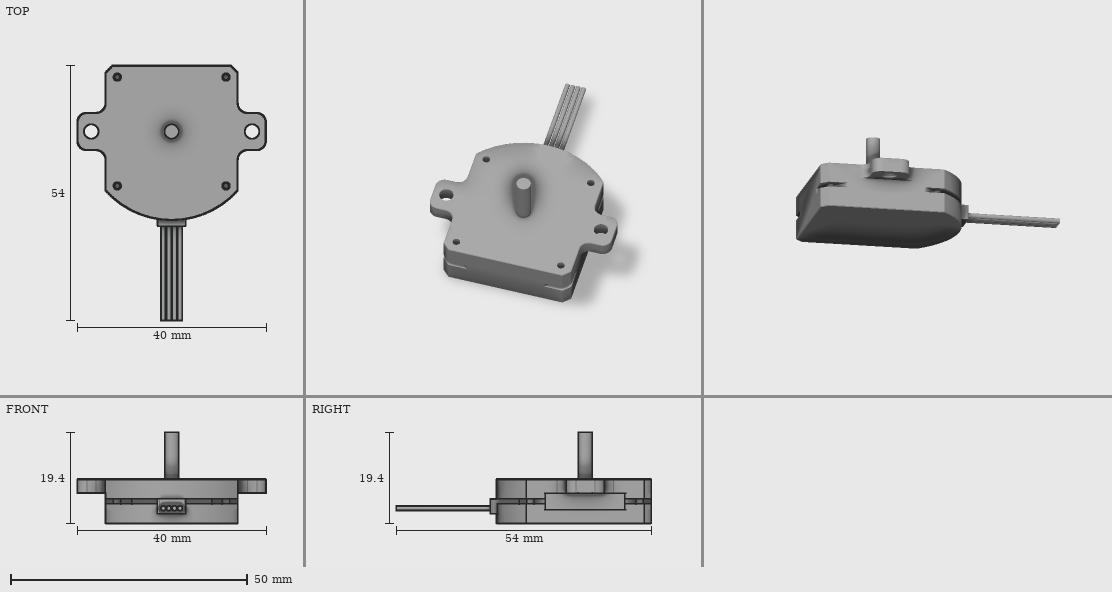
import cadquery as cq
import math

overall_length = 54.05
overall_height = 19.4
body_height = 9.5
body_half_width = 14.05
body_back = 14.0
back_chamfer = 1.5
front_radius = 18.8
housing_gap = 1.0
top_rim_chamfer = 0.135
bottom_rim_chamfer = 0.15

half_height = (body_height - housing_gap) / 2
upper_bottom = body_height - half_height

core_height = 3.5
core_half_width = body_half_width
core_half_depth = body_back
core_chamfer = 5.55
core_bottom = (body_height - core_height) / 2
core_top = core_bottom + core_height

ear_span = 40.0
ear_width = 8.0
ear_radius = 2.0
ear_hole_spacing = 34.05
ear_hole_diameter = 3.0

peg_spacing = 23.0
peg_diameter = 1.6
peg_chamfer = 0.2
peg_rise = 0.55
peg_top = core_top + peg_rise

shaft_diameter = 3.0

connector_width = 6.0
connector_height = 3.15
connector_front = -20.1
connector_corner = 0.3
connector_bottom = upper_bottom - connector_height

wire_count = 4
wire_pitch = 1.2
wire_diameter = 1.0
wire_level = 3.3
wire_end = body_back - overall_length


def body_plate(bottom, height):
    """Square body with a chamfered back and a front arc centred on the shaft."""
    arc_start = -math.sqrt(front_radius**2 - body_half_width**2)
    return (
        cq.Workplane("XY", origin=(0, 0, bottom))
        .moveTo(-body_half_width, arc_start)
        .threePointArc((0, -front_radius), (body_half_width, arc_start))
        .lineTo(body_half_width, body_back - back_chamfer)
        .lineTo(body_half_width - back_chamfer, body_back)
        .lineTo(back_chamfer - body_half_width, body_back)
        .lineTo(-body_half_width, body_back - back_chamfer)
        .close()
        .extrude(height)
    )


def core_block():
    """Full octagonal core, before the pegs are cleared."""
    return (
        cq.Workplane("XY", origin=(0, 0, core_bottom))
        .rect(2 * core_half_width, 2 * core_half_depth)
        .extrude(core_height)
        .edges("|Z")
        .chamfer(core_chamfer)
    )


def peg_cylinders(bottom, top):
    """Four cylinders on the peg pattern."""
    return (
        cq.Workplane("XY", origin=(0, 0, bottom))
        .rect(peg_spacing, peg_spacing, forConstruction=True)
        .vertices()
        .circle(peg_diameter / 2)
        .extrude(top - bottom)
    )


def ear_bar():
    """Bar across the body whose two ends form the mounting ears."""
    return (
        cq.Workplane("XY", origin=(0, 0, core_top))
        .rect(ear_span, ear_width)
        .extrude(body_height - core_top)
        .edges("|Z")
        .fillet(ear_radius)
    )


def ear_root_edges(solid):
    """Vertical inside corners where the ears meet the body sides."""
    reach = 0.05
    selected = solid.edges(
        cq.selectors.BoxSelector(
            (-body_half_width - reach, -ear_width / 2 - reach, core_top - reach),
            (body_half_width + reach, ear_width / 2 + reach, body_height + reach),
        )
    )
    return selected.edges("|Z")


def make_upper_housing():
    plate = body_plate(upper_bottom, half_height).union(ear_bar())
    plate = ear_root_edges(plate).fillet(ear_radius)
    plate = plate.faces(">Z").edges().chamfer(top_rim_chamfer)
    ear_holes = (
        cq.Workplane("XY", origin=(0, 0, core_top))
        .pushPoints([(-ear_hole_spacing / 2, 0), (ear_hole_spacing / 2, 0)])
        .circle(ear_hole_diameter / 2)
        .extrude(body_height - core_top)
    )
    return plate.cut(core_block()).cut(ear_holes).cut(peg_cylinders(upper_bottom, body_height))


def make_connector():
    depth = -core_half_depth - connector_front
    return (
        cq.Workplane("XY", origin=(0, connector_front + depth / 2, connector_bottom))
        .rect(connector_width, depth)
        .extrude(connector_height)
        .edges("|Z and <Y")
        .fillet(connector_corner)
    )


def make_lower_housing(connector):
    plate = body_plate(0, half_height).faces("<Z").edges().chamfer(bottom_rim_chamfer)
    pegs = peg_cylinders(core_bottom, peg_top).faces(">Z").edges().chamfer(peg_chamfer)
    return plate.cut(core_block()).cut(connector).union(pegs)


def make_core():
    return core_block().cut(peg_cylinders(core_bottom, core_top))


def make_shaft():
    return (
        cq.Workplane("XY", origin=(0, 0, body_height))
        .circle(shaft_diameter / 2)
        .extrude(overall_height - body_height)
    )


def make_wire(x):
    return (
        cq.Workplane("XZ", origin=(x, connector_front, wire_level))
        .circle(wire_diameter / 2)
        .extrude(connector_front - wire_end)
    )


connector = make_connector()
upper_housing = make_upper_housing()
lower_housing = make_lower_housing(connector)
core = make_core()
shaft = make_shaft()
wires = []
for index in range(wire_count):
    wires.append(make_wire((index - (wire_count - 1) / 2) * wire_pitch))

result = cq.Compound.makeCompound(
    [
        upper_housing.val(),
        lower_housing.val(),
        core.val(),
        shaft.val(),
        connector.val(),
        *[wire.val() for wire in wires],
    ]
)